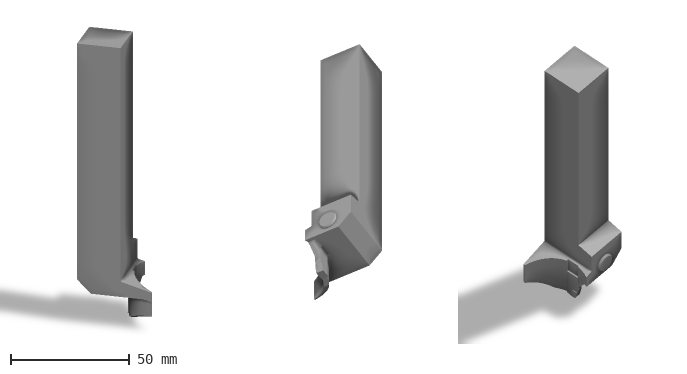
import cadquery as cq

total_height = 127.0
total_width = 32.5
total_depth = 27.4
shank_side = 19.0
head_depth = 26.4
head_bottom = 13.6
bevel_width = 6.1
bevel_height = 5.8
arm_root_z = 20.6
arm_tip_z = 17.0
arm_root_radius = 0.6
ledge_root_z = 31.6
ledge_rear_z = 29.7

outer_radius = 17.8
outer_x, outer_y = 36.2, 17.5
inner_radius = 18.8
inner_x, inner_y = 39.4, 18.4
root_radius = 1.7
blade_bottom = 1.1
blade_front_z = 6.4
blade_slope_y = 9.1
web_z = 6.9
web_rear_y = 24.8

insert_left, insert_right = 18.3, 21.0
insert_front, insert_rear = 14.2, 20.1
insert_bottom = 0.5
insert_shoulder_z = 5.1
tip_side = 0.4
tip_width = 3.3
tip_top = 4.1
tip_rear = 19.7
tip_flat_front = 17.4
tip_heel_y = 15.7
edge_y = 18.8

clearance_left = 20.2

boss_diameter = 8.5
boss_x, boss_z = 11.0, 19.7
boss_chamfer = 0.5


def extrude_along_x(points, left, right):
    """Solid with a Y-Z outline, between two X positions."""
    return cq.Workplane("YZ").workplane(offset=left).polyline(points).close().extrude(right - left)


def upright_cylinder(x, y, radius):
    return cq.Workplane("XY").center(x, y).circle(radius).extrude(total_height)


def make_body():
    """Shank, rear ledge and side arm, before the curved cut."""
    front_outline = [
        (0, head_bottom + bevel_height),
        (bevel_width, head_bottom),
        (total_width, head_bottom),
        (total_width, arm_tip_z),
        (shank_side, arm_root_z),
        (shank_side, total_height),
        (0, total_height),
    ]
    body = cq.Workplane("XZ").polyline(front_outline).close().extrude(-head_depth)
    arm_corner = cq.selectors.BoxSelector(
        (shank_side - 0.1, 0, arm_root_z - 0.1),
        (shank_side + 0.1, head_depth, arm_root_z + 0.1),
    )
    body = body.edges(arm_corner).fillet(arm_root_radius)
    side_outline = [
        (0, head_bottom),
        (head_depth, head_bottom),
        (head_depth, ledge_rear_z),
        (shank_side, ledge_root_z),
        (shank_side, total_height),
        (0, total_height),
    ]
    return body.intersect(extrude_along_x(side_outline, 0, total_width))


def make_blade():
    """Blade with a rounded root flare, trimmed to its side outline."""
    profile = (
        cq.Workplane("XZ", origin=(outer_x, outer_y, 0))
        .lineTo(outer_radius, 0)
        .lineTo(outer_radius, head_bottom - root_radius)
        .radiusArc((outer_radius + root_radius, head_bottom), root_radius)
        .lineTo(0, head_bottom)
        .close()
    )
    disc = profile.revolve(360, (0, 0, 0), (0, 1, 0))
    side_outline = [
        (0, blade_front_z),
        (blade_slope_y, blade_bottom),
        (insert_rear, blade_bottom),
        (insert_rear, web_z),
        (web_rear_y, head_bottom),
        (0, head_bottom),
    ]
    return disc.intersect(extrude_along_x(side_outline, 0, total_width))


def make_boss():
    height = total_depth - head_depth
    boss = (
        cq.Workplane("XZ", origin=(boss_x, head_depth, boss_z))
        .circle(boss_diameter / 2)
        .extrude(-height)
    )
    return boss.faces(">Y").chamfer(boss_chamfer)


def make_insert():
    bar_outline = [
        (insert_front, insert_bottom),
        (edge_y, insert_bottom),
        (tip_rear, tip_top),
        (insert_rear, insert_shoulder_z),
        (insert_rear, head_bottom),
        (insert_front, head_bottom),
    ]
    tip_outline = [
        (insert_front, insert_bottom),
        (edge_y, 0),
        (tip_rear, tip_top),
        (tip_flat_front, tip_top),
        (tip_heel_y, insert_bottom),
    ]
    tip_left = insert_left - tip_side
    bar = extrude_along_x(bar_outline, insert_left, insert_right)
    return bar.union(extrude_along_x(tip_outline, tip_left, tip_left + tip_width))


def insert_slot(bottom, top, left, right):
    """Upright slot as deep in Y as the insert."""
    outline = [
        (insert_front, bottom),
        (insert_rear, bottom),
        (insert_rear, top),
        (insert_front, top),
    ]
    return extrude_along_x(outline, left, right)


def make_holder():
    holder = make_body().union(make_blade())
    holder = holder.cut(upright_cylinder(inner_x, inner_y, inner_radius))
    seat = insert_slot(0, head_bottom, insert_left - root_radius - tip_side, total_width)
    clearance = insert_slot(head_bottom, arm_root_z, clearance_left, total_width)
    return holder.cut(seat).cut(clearance).union(make_boss())


holder = make_holder()
insert = make_insert()
result = cq.Compound.makeCompound([holder.val(), insert.val()])